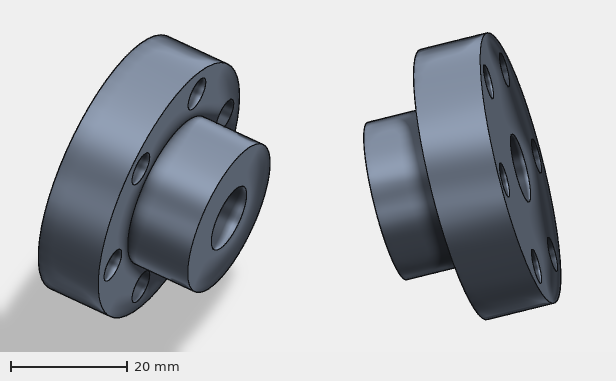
import cadquery as cq

flange_diameter = 48.0
flange_thickness = 12.0

hub_diameter = 28.0
hub_length = 12.0

bore_diameter = 12.0

bolt_hole_count = 6
bolt_hole_diameter = 6.0
bolt_circle_diameter = 38.0


def disc_along_x(diameter, length, start_x=0.0):
    """Solid cylinder on the X axis, reaching from start_x towards +X."""
    return cq.Workplane("YZ", origin=(start_x, 0, 0)).circle(diameter / 2).extrude(length)


def bolt_holes():
    """Ring of cutting cylinders, the first one on the +Y axis."""
    return (
        cq.Workplane("YZ")
        .polarArray(bolt_circle_diameter / 2, 0, 360, bolt_hole_count)
        .circle(bolt_hole_diameter / 2)
        .extrude(flange_thickness)
    )


flange = disc_along_x(flange_diameter, flange_thickness)
hub = disc_along_x(hub_diameter, hub_length, flange_thickness)
bore = disc_along_x(bore_diameter, flange_thickness + hub_length)

result = flange.union(hub).cut(bore).cut(bolt_holes())